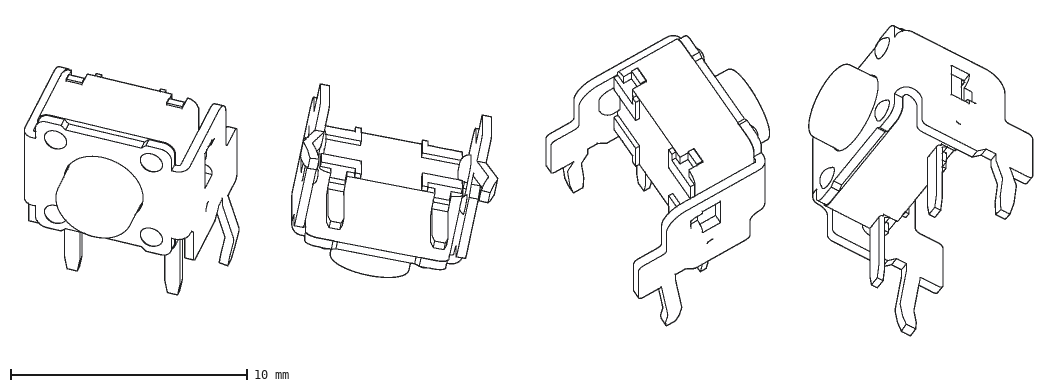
import cadquery as cq
import math


HOUSING_SIZE = 6.2
HOUSING_BACK = 3.35
HOUSING_CORNER = 0.55
BUTTON_FRONT = -1.3
BUTTON_BASE_R = 1.74
BUTTON_TIP_R = 1.71
BUTTON_FILLET = 0.1
RIVET_OFFSET = 2.15
RIVET_R = 0.5
RIVET_HEIGHT = 0.3
FOOT_THICKNESS = 0.2
FOOT_INNER_X = 1.32
FOOT_STEP_X = 1.57
FOOT_STEP_Z = 2.47
FOOT_INNER_Z = 1.32

SHEET = 0.4
COVER_MARGIN = 0.05
COVER_HALF = HOUSING_SIZE / 2 - COVER_MARGIN
COVER_CORNER = HOUSING_CORNER - COVER_MARGIN
BUTTON_HOLE_D = 3.55
RELIEF_DEPTH = 0.2
RELIEF_HALF = 1.7
BRACKET_X = 3.7
BRACKET_INNER_X = BRACKET_X - SHEET
BEND_R = 0.5
BEND_HALF_Z = 1.95
WING_FRONT = 0.97
WING_BACK = 5.15
WING_BOTTOM = -4.0
WING_TOP_R = 1.0
WING_FRONT_R = 0.45
EAR_BACK = 6.55
EAR_TOP = -1.0
EAR_CORNER_R = 0.25
EAR_ROOT_R = 0.2
GAP_TOP = -3.55
GAP_FLAT_Y = 4.2
GAP_END_Y = 3.75

WINDOW_FRONT = 2.45
WINDOW_BACK = 3.35
WINDOW_HALF_Z = 1.0
LANCE_BACK = 4.15
LANCE_HALF_Z = 0.9
LANCE_CORNER = 0.5
LANCE_DEPTH = 0.4
LANCE_LIP_R = 0.4
LANCE_INNER_R = 0.4

DIMPLE_Y = 2.9
DIMPLE_Z = -2.47
DIMPLE_LIP_R = 0.4
DIMPLE_BUMP_R = 0.425
DIMPLE_DEPTH = 0.27

LEG_FRONT = 4.7
LEG_BACK = 5.4
KNEE_X = 4.212
KNEE_Z = -5.79
KNEE_R = 0.5
FOOT_X = 3.89

LEAD_BOTTOM = -7.5
TIP_START = -6.8
TIP_INSET = 0.12
CUT_MARGIN = 1.0
TERMINAL_X = 2.25
TERMINAL_WIDTH = 0.7
TERMINAL_FRONT = 2.65
TERMINAL_THICKNESS = 0.3
TERMINAL_BACK = TERMINAL_FRONT + TERMINAL_THICKNESS
STUB_HEIGHT = 0.1
TERMINAL_TOP = HOUSING_SIZE / 2 + STUB_HEIGHT
JOG = 0.25
JOG_TOP = -3.17
JOG_BOTTOM = -3.35
JOG_LIFT = -HOUSING_SIZE / 2 - JOG_TOP
JOG_R = 0.37

SIDES = (-1, 1)
CORNERS = [(x, z) for x in SIDES for z in SIDES]


def box(x0, x1, y0, y1, z0, z1):
    return cq.Workplane("XY").box(x1 - x0, y1 - y0, z1 - z0, centered=False).translate((x0, y0, z0))


def cylinder_y(x, z, radius, y0, y1):
    return cq.Workplane("XZ", origin=(x, y0, z)).circle(radius).extrude(y0 - y1)


def cap(center, direction, radius, height):
    """Spherical cap on a flat base, its crown pointing along direction."""
    sphere_r = (radius**2 + height**2) / (2 * height)
    plane = cq.Plane(origin=center, xDir=(0, 0, 1), normal=direction)
    ball = cq.Workplane(plane).workplane(offset=height - sphere_r).sphere(sphere_r)
    keep = cq.Workplane(plane).circle(2 * radius).extrude(height)
    return ball.intersect(keep)


def lead_tip_cutter(plane, center, half_width, reach):
    """Two wedges that taper the end of a lead; extruded both ways from the given plane."""
    wedges = cq.Workplane(plane)
    for side in SIDES:
        edge = center + side * half_width
        wedges = wedges.polyline(
            [
                (edge, TIP_START),
                (edge - side * TIP_INSET, LEAD_BOTTOM),
                (edge - side * TIP_INSET, LEAD_BOTTOM - CUT_MARGIN),
                (edge + side * CUT_MARGIN, LEAD_BOTTOM - CUT_MARGIN),
                (edge + side * CUT_MARGIN, TIP_START),
            ]
        ).close()
    return wedges.extrude(reach, both=True)


def dimple_bump(side):
    """Domed inner side of the dimple; the housing gets a matching recess."""
    return cap((side * BRACKET_INNER_X, DIMPLE_Y, DIMPLE_Z), (-side, 0, 0), DIMPLE_BUMP_R, DIMPLE_DEPTH)


def make_terminal(side):
    """Flat strip running straight through the housing, jogged forward just below it."""
    y0 = TERMINAL_FRONT
    y1 = TERMINAL_BACK
    x0 = side * TERMINAL_X - TERMINAL_WIDTH / 2
    strip = (
        cq.Workplane("YZ", origin=(x0, 0, 0))
        .polyline(
            [
                (y0, TERMINAL_TOP),
                (y0, JOG_TOP),
                (y0 - JOG, JOG_BOTTOM),
                (y0 - JOG, LEAD_BOTTOM),
                (y1 - JOG, LEAD_BOTTOM),
                (y1 - JOG, JOG_BOTTOM + JOG_LIFT),
                (y1, JOG_TOP + JOG_LIFT),
                (y1, TERMINAL_TOP),
            ]
        )
        .close()
        .extrude(TERMINAL_WIDTH)
    )
    knee = cq.selectors.NearestToPointSelector((side * TERMINAL_X, y0 - JOG, JOG_BOTTOM))
    strip = strip.edges("|X").edges(knee).fillet(JOG_R)
    return strip.cut(lead_tip_cutter("XZ", side * TERMINAL_X, TERMINAL_WIDTH / 2, EAR_BACK))


def make_foot(x, z):
    """Corner foot on the back face, with a narrow finger reaching to the nearest z edge."""
    y_range = (HOUSING_BACK, HOUSING_BACK + FOOT_THICKNESS)
    pad_x = sorted((x * FOOT_INNER_X, x * COVER_HALF))
    pad_z = sorted((z * FOOT_INNER_Z, z * FOOT_STEP_Z))
    finger_x = sorted((x * FOOT_INNER_X, x * FOOT_STEP_X))
    finger_z = sorted((z * FOOT_INNER_Z, z * COVER_HALF))
    return box(*pad_x, *y_range, *pad_z).union(box(*finger_x, *y_range, *finger_z))


def make_button():
    """Slightly tapered round button, rooted on the housing's front face."""
    button_length = SHEET - BUTTON_FRONT
    return (
        cq.Workplane("XZ", origin=(0, SHEET, 0))
        .circle(BUTTON_BASE_R)
        .workplane(offset=button_length)
        .circle(BUTTON_TIP_R)
        .loft()
        .faces("<Y")
        .edges()
        .fillet(BUTTON_FILLET)
    )


def make_housing():
    half = HOUSING_SIZE / 2
    body = box(-half, half, SHEET, HOUSING_BACK, -half, half).edges("|Y").fillet(HOUSING_CORNER)
    body = body.union(make_button())
    for x, z in CORNERS:
        rivet_x = x * RIVET_OFFSET
        rivet_z = z * RIVET_OFFSET
        body = body.union(cylinder_y(rivet_x, rivet_z, RIVET_R, 0, SHEET))
        body = body.union(cap((rivet_x, 0, rivet_z), (0, -1, 0), RIVET_R, RIVET_HEIGHT))
        body = body.union(make_foot(x, z))
    for side in SIDES:
        slot_x0 = side * TERMINAL_X - TERMINAL_WIDTH / 2
        slot_x1 = slot_x0 + TERMINAL_WIDTH
        body = body.cut(box(slot_x0, slot_x1, TERMINAL_FRONT, TERMINAL_BACK, -half, half))
        body = body.cut(box(slot_x0, slot_x1, TERMINAL_BACK, HOUSING_BACK, FOOT_STEP_Z, half))
        body = body.cut(box(slot_x0, slot_x1, TERMINAL_BACK, HOUSING_BACK, -half, -FOOT_STEP_Z))
        body = body.cut(dimple_bump(side))
    return body


def make_cover_plate():
    plate = box(-COVER_HALF, COVER_HALF, 0, SHEET, -COVER_HALF, COVER_HALF)
    plate = plate.edges("|Y").fillet(COVER_CORNER)
    for z in SIDES:
        relief = (
            cq.Workplane("XZ")
            .polyline(
                [
                    (-RELIEF_HALF - RELIEF_DEPTH, z * COVER_HALF),
                    (-RELIEF_HALF, z * (COVER_HALF - RELIEF_DEPTH)),
                    (RELIEF_HALF, z * (COVER_HALF - RELIEF_DEPTH)),
                    (RELIEF_HALF + RELIEF_DEPTH, z * COVER_HALF),
                ]
            )
            .close()
            .extrude(-SHEET)
        )
        plate = plate.cut(relief)
    return plate


def make_channel():
    """Flat strip bent back at both ends, forming the fold between cover plate and brackets."""
    outer = box(-BRACKET_X, BRACKET_X, 0, WING_FRONT, -BEND_HALF_Z, BEND_HALF_Z)
    inner = box(-BRACKET_INNER_X, BRACKET_INNER_X, SHEET, WING_FRONT, -BEND_HALF_Z, BEND_HALF_Z)
    outer = outer.edges("|Z and <Y").fillet(BEND_R)
    inner = inner.edges("|Z and <Y").fillet(BEND_R - SHEET)
    return outer.cut(inner)


def make_wing(side):
    """Flat bracket wing with its ear, bottom gap, window, lance and dimple."""
    x0 = min(side * BRACKET_X, side * BRACKET_INNER_X)
    wing = (
        cq.Workplane("YZ", origin=(x0, 0, 0))
        .moveTo(BEND_R, BEND_HALF_Z)
        .lineTo(WING_BACK - WING_TOP_R, BEND_HALF_Z)
        .radiusArc((WING_BACK, BEND_HALF_Z - WING_TOP_R), WING_TOP_R)
        .lineTo(WING_BACK, EAR_TOP + EAR_ROOT_R)
        .radiusArc((WING_BACK + EAR_ROOT_R, EAR_TOP), -EAR_ROOT_R)
        .lineTo(EAR_BACK - EAR_CORNER_R, EAR_TOP)
        .radiusArc((EAR_BACK, EAR_TOP - EAR_CORNER_R), EAR_CORNER_R)
        .lineTo(EAR_BACK, WING_BOTTOM + EAR_CORNER_R)
        .radiusArc((EAR_BACK - EAR_CORNER_R, WING_BOTTOM), EAR_CORNER_R)
        .lineTo(LEG_FRONT, WING_BOTTOM)
        .lineTo(LEG_FRONT, GAP_TOP)
        .lineTo(GAP_FLAT_Y, GAP_TOP)
        .lineTo(GAP_END_Y, WING_BOTTOM)
        .lineTo(WING_FRONT + EAR_CORNER_R, WING_BOTTOM)
        .radiusArc((WING_FRONT, WING_BOTTOM + EAR_CORNER_R), EAR_CORNER_R)
        .lineTo(WING_FRONT, -BEND_HALF_Z - WING_FRONT_R)
        .radiusArc((WING_FRONT - WING_FRONT_R, -BEND_HALF_Z), -WING_FRONT_R)
        .lineTo(BEND_R, -BEND_HALF_Z)
        .close()
        .extrude(SHEET)
    )
    wing = wing.union(make_lance_bulge(side)).cut(make_lance_hollow(side))
    window_x = sorted((side * BRACKET_X, side * (BRACKET_INNER_X - LANCE_DEPTH)))
    wing = wing.cut(box(*window_x, WINDOW_FRONT, WINDOW_BACK, -WINDOW_HALF_Z, WINDOW_HALF_Z))
    wing = wing.union(dimple_bump(side))
    return wing.cut(make_dimple_hollow(side))


def make_lance_bulge(side):
    """Rounded block standing inward from the bracket wing behind the window."""
    x_range = sorted((side * BRACKET_X, side * (BRACKET_INNER_X - LANCE_DEPTH)))
    block = box(*x_range, WINDOW_FRONT, LANCE_BACK, -LANCE_HALF_Z, LANCE_HALF_Z)
    block = block.edges("|X and >Y").fillet(LANCE_CORNER)
    block = block.faces("<X" if side > 0 else ">X").edges("not <Y").fillet(LANCE_INNER_R)
    return block.intersect(box(*x_range, WINDOW_BACK, LANCE_BACK, -LANCE_HALF_Z, LANCE_HALF_Z))


def make_lance_hollow(side):
    """Hollow in the outer face of the lance; its mouth flares out over a rounded lip."""
    pocket_half_z = LANCE_HALF_Z - LANCE_LIP_R
    x_floor = side * (BRACKET_X - LANCE_DEPTH)
    x_deep = side * (BRACKET_X - 2 * LANCE_DEPTH)
    x_full = sorted((side * BRACKET_X, x_deep))
    x_hollow = sorted((side * BRACKET_X, x_floor))
    surround = box(*x_full, WINDOW_FRONT, EAR_BACK, -BEND_HALF_Z, BEND_HALF_Z)
    pocket = box(*x_full, WINDOW_FRONT, LANCE_BACK - LANCE_LIP_R, -pocket_half_z, pocket_half_z)
    pocket = pocket.edges("|X and >Y").fillet(LANCE_CORNER - LANCE_LIP_R)
    mouth = cq.selectors.BoxSelector(
        (side * (BRACKET_X - LANCE_DEPTH / 2), WINDOW_FRONT + LANCE_LIP_R / 2, -LANCE_HALF_Z),
        (side * (BRACKET_X + LANCE_DEPTH / 2), LANCE_BACK, LANCE_HALF_Z),
    )
    lip = surround.cut(pocket).edges(mouth).fillet(LANCE_LIP_R)
    return box(*x_hollow, WINDOW_BACK, LANCE_BACK, -LANCE_HALF_Z, LANCE_HALF_Z).cut(lip)


def make_dimple_hollow(side):
    """Funnel whose wall rolls in from the outer face over a quarter-circle lip to a point."""
    arc_middle = DIMPLE_LIP_R * (1 - math.sqrt(0.5))
    return (
        cq.Workplane("XY", origin=(side * BRACKET_X, DIMPLE_Y, DIMPLE_Z))
        .moveTo(0, DIMPLE_LIP_R)
        .threePointArc((-side * arc_middle, arc_middle), (-side * DIMPLE_LIP_R, 0))
        .lineTo(0, 0)
        .close()
        .revolve(360, (0, 0, 0), (1, 0, 0))
    )


def make_snap_leg(side):
    """Leg kinked outward; both runs keep the sheet thickness across their length."""
    upper_tilt = math.atan2(KNEE_X - BRACKET_X, WING_BOTTOM - KNEE_Z)
    lower_tilt = math.atan2(KNEE_X - FOOT_X, KNEE_Z - LEAD_BOTTOM)
    knee_bisector = (upper_tilt - lower_tilt) / 2
    knee_offset = SHEET / math.cos((upper_tilt + lower_tilt) / 2)
    inner_knee_x = KNEE_X - knee_offset * math.cos(knee_bisector)
    inner_knee_z = KNEE_Z + knee_offset * math.sin(knee_bisector)
    leg = (
        cq.Workplane("XZ", origin=(0, LEG_BACK, 0))
        .polyline(
            [
                (side * BRACKET_X, WING_BOTTOM),
                (side * KNEE_X, KNEE_Z),
                (side * FOOT_X, LEAD_BOTTOM),
                (side * (FOOT_X - SHEET * math.cos(lower_tilt)), LEAD_BOTTOM + SHEET * math.sin(lower_tilt)),
                (side * inner_knee_x, inner_knee_z),
                (side * BRACKET_INNER_X, WING_BOTTOM),
            ]
        )
        .close()
        .extrude(LEG_BACK - LEG_FRONT)
    )
    middle_y = (LEG_FRONT + LEG_BACK) / 2
    for x, z, radius in ((KNEE_X, KNEE_Z, KNEE_R), (inner_knee_x, inner_knee_z, KNEE_R - SHEET)):
        knee = cq.selectors.NearestToPointSelector((side * x, middle_y, z))
        leg = leg.edges("|Y").edges(knee).fillet(radius)
    return leg.cut(lead_tip_cutter("YZ", middle_y, (LEG_BACK - LEG_FRONT) / 2, KNEE_X))


def make_cover():
    cover = make_cover_plate().union(make_channel())
    for side in SIDES:
        cover = cover.union(make_wing(side)).union(make_snap_leg(side))
    cover = cover.cut(cylinder_y(0, 0, BUTTON_HOLE_D / 2, 0, SHEET))
    for x, z in CORNERS:
        cover = cover.cut(cylinder_y(x * RIVET_OFFSET, z * RIVET_OFFSET, RIVET_R, 0, SHEET))
    return cover


housing = make_housing()
cover = make_cover()
terminals = [make_terminal(side) for side in SIDES]

result = cq.Compound.makeCompound(
    [
        housing.solids().val(),
        cover.solids().val(),
        *[terminal.solids().val() for terminal in terminals],
    ]
)